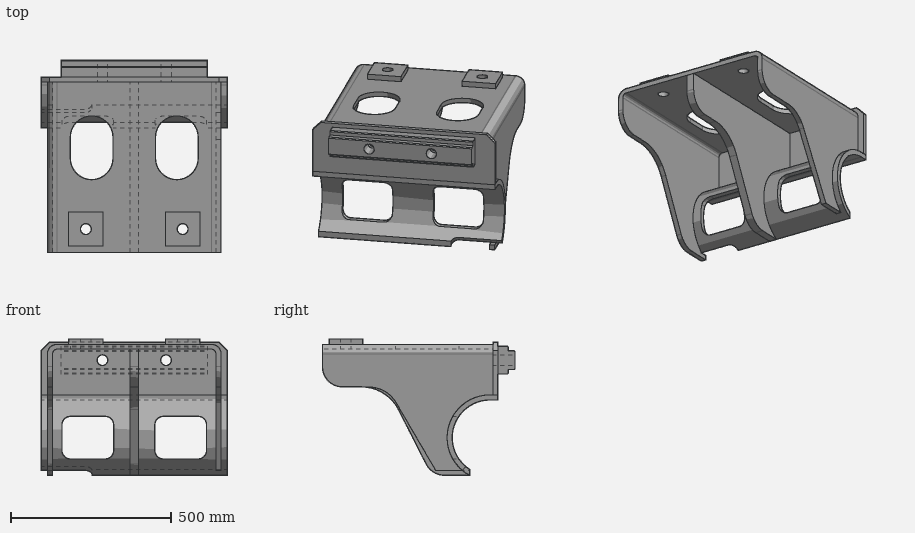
import cadquery as cq
import math


saddle_width = 581.0
saddle_outer_radius = 133.5
saddle_thickness = 16.0
saddle_inner_radius = saddle_outer_radius - saddle_thickness
saddle_y = -10.0
saddle_z = -291.0
saddle_top_z = saddle_z + saddle_outer_radius
window_x = 145.0
window_width = 160.5
window_height = 132
window_radius = 26.0
notch_angle = 50
notch_x = -131.5
notch_radius = 22.0

channel_width = 542.0
channel_length = 532.0
front_y = -channel_length
top_thickness = 15.0
cheek_thickness = 17.0
bend_outer_radius = 30
bend_inner_radius = bend_outer_radius - cheek_thickness
slot_x = 133.0
slot_y = front_y + 327.0
slot_width = 132
slot_length = 198

nose_bottom_z = -133.0
nose_radius = 63.0
throat_y = front_y + 201.0
throat_radius = 129.0
heel_y = front_y + 341.0
heel_radius = 66
foot_bottom_z = -408.5
heel = (heel_y, foot_bottom_z)

short_heel_y = front_y + 353.0
short_throat_radius = 98.5

web_thickness = 26.0

pad_size_x = 107.0
pad_size_y = 105.0
pad_height = 17.0
pad_x = 151.0
pad_y = front_y + 73.0
pad_hole_diameter = 33.0

back_thickness = 15.0
back_top_z = 7.0
back_chamfer = 26.5

bar_length = 455.5
bar_z = -49.0
bar_base_height = 87.0
bar_base_depth = 32.5
bar_nose_height = 59.0
bar_nose_depth = 21.0
bar_chamfer = 3.0
bar_hole_x = 99.0
bar_hole_diameter = 32.5


def saddle_point(radius, angle):
    """(y, z) of the point on the front of the saddle at an angle below its centre."""
    turn = math.radians(angle)
    return (saddle_y - radius * math.cos(turn), saddle_z - radius * math.sin(turn))


outer_end_angle = math.degrees(math.asin((saddle_z - foot_bottom_z) / saddle_outer_radius))
saddle_end_y = saddle_point(saddle_outer_radius, outer_end_angle)[0]
inner_end_angle = math.degrees(math.acos((saddle_y - saddle_end_y) / saddle_inner_radius))
short_foot_z = saddle_point(saddle_outer_radius, notch_angle)[1]


def arc_middle(radius, end_angle):
    """Middle of the arc from the top of the saddle down to an angle below its centre."""
    return saddle_point(radius, (end_angle - 90) / 2)


def round_corner(body, y, z, radius):
    """Round the X-direction edge closest to (y, z)."""
    x = body.val().Center().x
    return body.edges("|X").edges(cq.selectors.NearestToPointSelector((x, y, z))).fillet(radius)


def rib(x_start, x_end, foot_points, saddle_angle, throat_fillet):
    """Slab with the side outline: nose, throat, sloping front, foot, and the arc resting on the saddle."""
    outline = [(0, 0), (front_y, 0), (front_y, nose_bottom_z), (throat_y, nose_bottom_z)]
    body = (
        cq.Workplane("YZ", origin=(x_start, 0, 0))
        .polyline(outline + foot_points + [saddle_point(saddle_outer_radius, saddle_angle)])
        .threePointArc(arc_middle(saddle_outer_radius, saddle_angle), (saddle_y, saddle_top_z))
        .lineTo(0, saddle_top_z)
        .close()
        .extrude(x_end - x_start)
    )
    body = round_corner(body, front_y, nose_bottom_z, nose_radius)
    return round_corner(body, throat_y, nose_bottom_z, throat_fillet)


def bent_sheet(width, top_z, radius):
    """Block as long as the channel, down to the foot bottom, with its two upper edges rounded."""
    return (
        cq.Workplane("XZ")
        .center(0, (top_z + foot_bottom_z) / 2)
        .rect(width, top_z - foot_bottom_z)
        .extrude(channel_length)
        .edges("|Y and >Z")
        .fillet(radius)
    )


def make_channel():
    sheet = bent_sheet(channel_width, 0, bend_outer_radius)
    sheet = sheet.cut(bent_sheet(channel_width - 2 * cheek_thickness, -top_thickness, bend_inner_radius))

    left_foot = [heel, (saddle_end_y, foot_bottom_z), (saddle_end_y, short_foot_z)]
    left = rib(-channel_width / 2, 0, left_foot, notch_angle, throat_radius)
    left = round_corner(left, *heel, heel_radius)
    right = rib(0, channel_width / 2, [(short_heel_y, short_foot_z)], notch_angle, short_throat_radius)
    channel = sheet.intersect(left.union(right))

    slots = (
        cq.Workplane()
        .pushPoints([(-slot_x, slot_y), (slot_x, slot_y)])
        .slot2D(slot_length, slot_width, 90)
        .extrude(-top_thickness)
    )
    pad_holes = (
        cq.Workplane()
        .pushPoints([(-pad_x, pad_y), (pad_x, pad_y)])
        .circle(pad_hole_diameter / 2)
        .extrude(-top_thickness)
    )
    return channel.cut(slots).cut(pad_holes)


def make_web():
    half = web_thickness / 2
    web = rib(-half, half, [heel], outer_end_angle, throat_radius)
    web = round_corner(web, *heel, heel_radius)
    top_sheet = cq.Workplane().box(web_thickness, 2 * channel_length, 2 * top_thickness)
    return web.cut(top_sheet)


def make_saddle():
    inner_top_z = saddle_top_z - saddle_thickness
    plate = (
        cq.Workplane("YZ", origin=(-saddle_width / 2, 0, 0))
        .moveTo(back_thickness, saddle_top_z)
        .lineTo(saddle_y, saddle_top_z)
        .threePointArc(
            arc_middle(saddle_outer_radius, outer_end_angle),
            saddle_point(saddle_outer_radius, outer_end_angle),
        )
        .lineTo(*saddle_point(saddle_inner_radius, inner_end_angle))
        .threePointArc(arc_middle(saddle_inner_radius, inner_end_angle), (saddle_y, inner_top_z))
        .lineTo(back_thickness, inner_top_z)
        .close()
        .extrude(saddle_width)
    )
    windows = (
        cq.Workplane("XZ", origin=(0, saddle_y, saddle_z))
        .pushPoints([(-window_x, 0), (window_x, 0)])
        .rect(window_width, window_height)
        .extrude(2 * saddle_outer_radius)
        .edges("|Y")
        .fillet(window_radius)
    )
    return plate.cut(windows).cut(notch())


def notch():
    """Wedge that shortens the left end of the saddle, with a rounded inner corner."""
    reach = 2 * saddle_outer_radius
    ray_end = saddle_point(reach, notch_angle)
    wedge = (
        cq.Workplane("YZ", origin=(-saddle_width / 2, 0, 0))
        .polyline([(saddle_y, saddle_z), ray_end, (saddle_y, ray_end[1])])
        .close()
        .extrude(notch_x + saddle_width / 2)
    )
    corner = (notch_x, *saddle_point(reach / 2, notch_angle))
    return wedge.edges(cq.selectors.NearestToPointSelector(corner)).fillet(notch_radius)


def bar_holes():
    """Two holes running through the back plate and the bar."""
    return (
        cq.Workplane("XZ", origin=(0, 0, bar_z))
        .pushPoints([(-bar_hole_x, 0), (bar_hole_x, 0)])
        .circle(bar_hole_diameter / 2)
        .extrude(-(back_thickness + bar_base_depth + bar_nose_depth))
    )


def make_back_plate():
    plate = (
        cq.Workplane("XZ")
        .center(0, (back_top_z + saddle_top_z) / 2)
        .rect(saddle_width, back_top_z - saddle_top_z)
        .extrude(-back_thickness)
        .edges("|Y and >Z")
        .chamfer(back_chamfer)
    )
    return plate.cut(bar_holes())


def bar_step(start_y, height, depth):
    return (
        cq.Workplane("XZ", origin=(0, start_y, bar_z))
        .rect(bar_length, height)
        .extrude(-depth)
        .edges("|X and >Y")
        .chamfer(bar_chamfer)
    )


def make_bar():
    base = bar_step(back_thickness, bar_base_height, bar_base_depth)
    nose = bar_step(back_thickness + bar_base_depth, bar_nose_height, bar_nose_depth)
    return base.union(nose).cut(bar_holes())


def make_pad(x):
    return (
        cq.Workplane(origin=(x, pad_y, 0))
        .rect(pad_size_x, pad_size_y)
        .circle(pad_hole_diameter / 2)
        .extrude(pad_height)
    )


channel = make_channel()
web = make_web()
saddle = make_saddle()
back_plate = make_back_plate()
bar = make_bar()
pads = [make_pad(x) for x in (-pad_x, pad_x)]

result = cq.Compound.makeCompound(
    [channel.val(), web.val(), saddle.val(), back_plate.val(), bar.val(), *[pad.val() for pad in pads]]
)